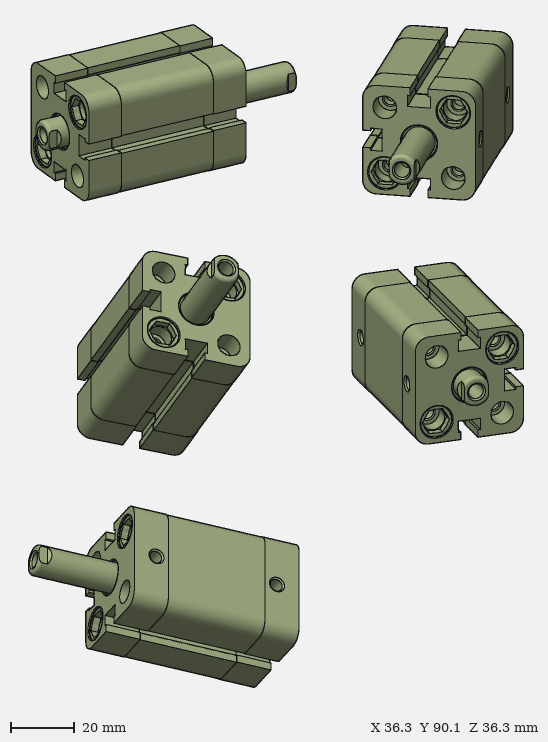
import cadquery as cq
import math


WIDTH = 36.3
CAP_LENGTH = 11.85
TUBE_LENGTH = 33.5
BODY_LENGTH = TUBE_LENGTH + 2 * CAP_LENGTH
CAP_CORNER_RADIUS = 4.4
TUBE_CORNER_RADIUS = 4.7

SLOT_ANGLES = (0, 90, 180)
SLOT_LIP_DEPTH = 2.55
CAP_SLOT_MOUTH = 5.7
CAP_SLOT_WIDTH = 7.4
CAP_SLOT_DEPTH = 6.3
TUBE_SLOT_MOUTH = 6.1
TUBE_SLOT_WIDTH = 7.0
TUBE_SLOT_DEPTH = 6.05

CORNER_OFFSET = 11.0
HOLE_DIAMETER = 7.55
HOLE_DEPTH = 8.0
THREAD_MOUTH = 4.92
THREAD_DIAMETER = 4.13
SOCKET_MOUTH = 11.1
SOCKET_DIAMETER = 10.48
SOCKET_DEPTH = 0.6
HEX_ACROSS_FLATS = 7.85
HEX_RELIEF_DIAMETER = 8.1
HEX_DEPTH = 3.0

PORT_SETBACK = 7.7
PORT_MOUTH = 5.2
PORT_COUNTERSINK = (PORT_MOUTH - THREAD_DIAMETER) / 2
PORT_DEPTH = 10.0
PORT_CHANNEL_HEIGHT = 3.0

ROD_DIAMETER = 10.0
ROD_FRONT = 6.4
ROD_LENGTH = 90.1
ROD_END_RADIUS = 1.2
ROD_FLAT_WIDTH = 8.0
ROD_FLAT_LENGTH = 3.0
ROD_THREAD_MOUTH = 6.0
ROD_THREAD_DIAMETER = 4.92
ROD_THREAD_DEPTH = 10.0

ROD_RECESS_MOUTH = 12.0
ROD_RECESS_DIAMETER = 11.4
ROD_RECESS_DEPTH = 1.0


def section_at(y):
    """Sketch plane at position y along the rod, with X to the right, Z up and its normal along -Y."""
    return cq.Workplane(cq.Plane(origin=(0, y, 0), xDir=(1, 0, 0), normal=(0, -1, 0)))


def cylinder(x, z, y, diameter, length):
    return section_at(y).center(x, z).circle(diameter / 2).extrude(-length)


def cone(x, z, y, mouth, end):
    """45 degree countersink that narrows from mouth to end as it goes into the part."""
    depth = (mouth - end) / 2
    solid = cq.Solid.makeCone(mouth / 2, end / 2, depth, cq.Vector(x, y, z), cq.Vector(0, 1, 0))
    return cq.Workplane(solid)


def profile(y, length, corner_radius, mouth, slot_width, slot_depth):
    """Rounded square bar with T-slots in three sides and a bore for the rod."""
    bar = section_at(y).rect(WIDTH, WIDTH).extrude(-length)
    bar = bar.edges("|Y").fillet(corner_radius)

    side = WIDTH / 2
    inner_depth = slot_depth - SLOT_LIP_DEPTH
    neck = section_at(y).center(0, side - slot_depth / 2).rect(mouth, slot_depth).extrude(-length)
    pocket = (
        section_at(y)
        .center(0, side - slot_depth + inner_depth / 2)
        .rect(slot_width, inner_depth)
        .extrude(-length)
    )
    slot = neck.union(pocket)
    for angle in SLOT_ANGLES:
        bar = bar.cut(slot.rotate((0, 0, 0), (0, 1, 0), angle))

    return bar.cut(cylinder(0, 0, y, ROD_DIAMETER, length))


def plain_hole(x, z):
    """Smooth hole with a smaller threaded hole at its bottom."""
    hole = cylinder(x, z, 0, HOLE_DIAMETER, HOLE_DEPTH)
    hole = hole.union(cylinder(x, z, 0, THREAD_DIAMETER, CAP_LENGTH))
    return hole.union(cone(x, z, HOLE_DEPTH, THREAD_MOUTH, THREAD_DIAMETER))


def hex_hole(x, z):
    """Plain hole behind a hexagon socket, relieved along its flats, and a shallow round recess."""
    across_corners = HEX_ACROSS_FLATS / math.cos(math.pi / 6)
    hexagon = section_at(0).center(x, z).polygon(6, across_corners).extrude(-HEX_DEPTH)
    hole = plain_hole(x, z).union(hexagon)
    hole = hole.union(cylinder(x, z, 0, HEX_RELIEF_DIAMETER, HEX_DEPTH))
    hole = hole.union(cylinder(x, z, 0, SOCKET_DIAMETER, SOCKET_DEPTH))
    return hole.union(cone(x, z, 0, SOCKET_MOUTH, SOCKET_DIAMETER))


def air_port():
    """Countersunk threaded port whose flat channel opens onto the rod."""
    side = cq.Workplane(cq.Plane(origin=(-WIDTH / 2, PORT_SETBACK, 0), xDir=(0, 1, 0), normal=(1, 0, 0)))
    drill = side.circle(THREAD_DIAMETER / 2).extrude(PORT_DEPTH)
    mouth = cq.Workplane(
        cq.Solid.makeCone(
            PORT_MOUTH / 2,
            THREAD_DIAMETER / 2,
            PORT_COUNTERSINK,
            cq.Vector(-WIDTH / 2, PORT_SETBACK, 0),
            cq.Vector(1, 0, 0),
        )
    )
    channel = side.circle(THREAD_DIAMETER / 2).extrude(WIDTH / 2)
    channel = channel.intersect(side.rect(WIDTH, PORT_CHANNEL_HEIGHT).extrude(WIDTH / 2))
    return drill.union(mouth).union(channel)


def cap():
    """End cap with its outer face at Y = 0."""
    body = profile(0, CAP_LENGTH, CAP_CORNER_RADIUS, CAP_SLOT_MOUTH, CAP_SLOT_WIDTH, CAP_SLOT_DEPTH)
    for side in (-1, 1):
        body = body.cut(plain_hole(side * CORNER_OFFSET, -side * CORNER_OFFSET))
        body = body.cut(hex_hole(side * CORNER_OFFSET, side * CORNER_OFFSET))
    body = body.cut(cylinder(0, 0, 0, ROD_RECESS_DIAMETER, ROD_RECESS_DEPTH))
    body = body.cut(cone(0, 0, 0, ROD_RECESS_MOUTH, ROD_RECESS_DIAMETER))
    return body.cut(air_port())


def rod_flats():
    """Material beside the wrench flats, at the rod end on Y = 0, with 45 degree run-outs."""
    flat = ROD_FLAT_WIDTH / 2
    outside = ROD_DIAMETER / 2
    run_out = ROD_FLAT_LENGTH + outside - flat
    outline = [(flat, 0), (outside, 0), (outside, run_out), (flat, ROD_FLAT_LENGTH)]
    right = cq.Workplane("XY").polyline(outline).close().extrude(outside, both=True)
    return right.union(right.mirror("YZ"))


def piston_rod():
    """Rod with rounded ends, and wrench flats and a threaded hole at each end."""
    rod = cylinder(0, 0, 0, ROD_DIAMETER, ROD_LENGTH)
    rod = rod.faces("<Y or >Y").edges().fillet(ROD_END_RADIUS)
    end_cut = rod_flats()
    end_cut = end_cut.union(cylinder(0, 0, 0, ROD_THREAD_DIAMETER, ROD_THREAD_DEPTH))
    end_cut = end_cut.union(cone(0, 0, 0, ROD_THREAD_MOUTH, ROD_THREAD_DIAMETER))
    rod = rod.cut(end_cut)
    rod = rod.cut(end_cut.mirror("XZ").translate((0, ROD_LENGTH, 0)))
    return rod.translate((0, -ROD_FRONT, 0))


front_cap = cap()

rear_cap = cap().rotate((0, 0, 0), (1, 0, 0), 180).translate((0, BODY_LENGTH, 0))

tube = profile(
    CAP_LENGTH,
    TUBE_LENGTH,
    TUBE_CORNER_RADIUS,
    TUBE_SLOT_MOUTH,
    TUBE_SLOT_WIDTH,
    TUBE_SLOT_DEPTH,
)

rod = piston_rod()

result = cq.Compound.makeCompound([front_cap.val(), rear_cap.val(), tube.val(), rod.val()])